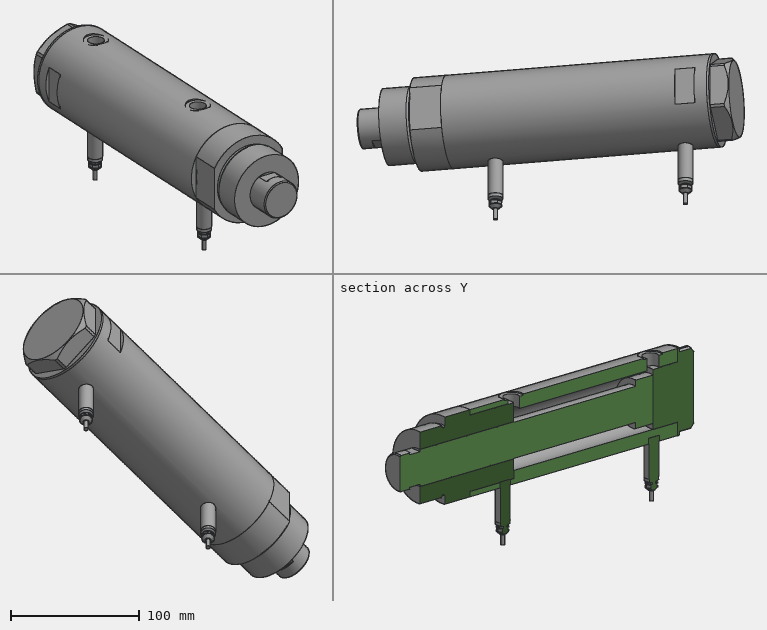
import cadquery as cq
import math


overall_height = 121.5

tube_diameter = 73.0
tube_radius = tube_diameter / 2
bore_radius = 25.0
counterbore_radius = 31.5
tube_start = 16.5
tube_end = 227.0
clear_height = tube_diameter

slot_start = 26.2
slot_end = 41.6
slot_half_width = 33.3

port_positions = [41.6, 182.5]
spotface_radius = 9.8
spotface_depth = 1.2
spotface_height = tube_radius - spotface_depth
port_radius = 6.5

hex_across_flats = 60.5
hex_corner_radius = 34.2
hex_face_radius = 29.8
hex_chamfer_length = 3.5
hex_length = 14.5
cap_spigot_end = port_positions[0]

head_end = 252.3
head_flat_half_width = 31.8
head_spigot_start = port_positions[1]
groove_radius = 28.0
groove_shoulder_radius = 29.2
groove_taper = 1.2
nose_radius = 30.0
nose_start = 254.0
nose_chamfer = 1.5
nose_end = 277.3

rod_radius = 15.5
rod_flat_half_height = 13.7
rod_flat_end = 287.5
rod_end = 297.5
rod_chamfer = 1.0
rod_hub_radius = 20.5
rod_hub_end = 59.5

sensor_positions = [40.5, 191.0]
sensor_radius = 6.0
sensor_collar_radius = sensor_radius - 0.15
sensor_neck_radius = 3.5
sensor_disc_radius = 5.0
sensor_cone_end_radius = 2.5
sensor_wire_radius = 1.65
sensor_top = -counterbore_radius
sensor_collar_top = -65.2
sensor_collar_bottom = -67.8
sensor_neck_top = -69.0
sensor_neck_bottom = -70.2
sensor_nut_top = -70.5
sensor_nut_bottom = -73.2
sensor_cone_top = -73.8
sensor_cone_bottom = -76.2
sensor_wire_end = tube_radius - overall_height
sensor_nut_across_flats = 8.5


def cylinder_x(radius, start, end):
    """Cylinder on the X axis from start to end."""
    return cq.Workplane("YZ", origin=(start, 0, 0)).circle(radius).extrude(end - start)


def cylinder_z(radius, x, bottom, top):
    """Vertical cylinder at the given X."""
    return cq.Workplane("XY", origin=(x, 0, bottom)).circle(radius).extrude(top - bottom)


def turned_x(profile):
    """Solid turned about the X axis from (x, radius) points that start and end on the axis."""
    return cq.Workplane("XY").polyline(profile).close().revolve(360, (0, 0, 0), (1, 0, 0))


def slab(start, end, half_y, half_z):
    """Box from start to end along X, centred on the X axis."""
    length = end - start
    return cq.Workplane("XY", origin=(start + length / 2, 0, 0)).box(length, 2 * half_y, 2 * half_z)


def make_tube():
    tube = cylinder_x(tube_radius, tube_start, tube_end)
    slot_zone = slab(slot_start, slot_end, tube_radius, tube_radius)
    slot_core = slab(slot_start, slot_end, slot_half_width, tube_radius)
    tube = tube.cut(slot_zone.cut(slot_core))
    tube = tube.cut(cylinder_x(bore_radius, tube_start, tube_end))
    tube = tube.cut(cylinder_x(counterbore_radius, head_spigot_start, tube_end))
    for x in port_positions:
        tube = tube.cut(cylinder_z(spotface_radius, x, spotface_height, clear_height))
        tube = tube.cut(cylinder_z(port_radius, x, 0, clear_height))
    for x in sensor_positions:
        tube = tube.cut(cylinder_z(sensor_radius, x, -clear_height, sensor_top))
    return tube


def make_end_cap():
    corner_distance = hex_across_flats / math.cos(math.pi / 6)
    hexagon = (
        cq.Workplane("YZ").polygon(6, corner_distance).extrude(hex_length)
        .rotate((0, 0, 0), (1, 0, 0), 90)
    )
    rounded_blank = turned_x([
        (0, 0),
        (0, hex_face_radius),
        (hex_chamfer_length, hex_corner_radius),
        (hex_length, hex_corner_radius),
        (hex_length, 0),
    ])
    flange = cylinder_x(tube_radius, hex_length, tube_start)
    spigot = cylinder_x(bore_radius, tube_start, cap_spigot_end)
    return hexagon.intersect(rounded_blank).union(flange).union(spigot)


def make_head():
    head = turned_x([
        (head_spigot_start, 0),
        (head_spigot_start, counterbore_radius),
        (tube_end, counterbore_radius),
        (tube_end, tube_radius),
        (head_end, tube_radius),
        (head_end, groove_shoulder_radius),
        (head_end + groove_taper, groove_radius),
        (nose_start, groove_radius),
        (nose_start + nose_chamfer, nose_radius),
        (nose_end, nose_radius),
        (nose_end, 0),
    ])
    head = head.intersect(slab(head_spigot_start, nose_end, head_flat_half_width, tube_radius))
    return head.cut(cylinder_x(rod_radius, head_spigot_start, nose_end))


def make_rod():
    rod = turned_x([
        (cap_spigot_end, 0),
        (cap_spigot_end, rod_hub_radius),
        (rod_hub_end, rod_hub_radius),
        (rod_hub_end, rod_radius),
        (rod_end - rod_chamfer, rod_radius),
        (rod_end, rod_radius - rod_chamfer),
        (rod_end, 0),
    ])
    flat_zone = slab(nose_end, rod_flat_end, rod_radius, rod_radius)
    flat_core = slab(nose_end, rod_flat_end, rod_radius, rod_flat_half_height)
    return rod.cut(flat_zone.cut(flat_core))


def make_sensor(x):
    profile = [
        (0, sensor_top),
        (sensor_radius, sensor_top),
        (sensor_radius, sensor_collar_top),
        (sensor_collar_radius, sensor_collar_top),
        (sensor_collar_radius, sensor_collar_bottom),
        (sensor_neck_radius, sensor_neck_top),
        (sensor_neck_radius, sensor_neck_bottom),
        (sensor_disc_radius, sensor_neck_bottom),
        (sensor_disc_radius, sensor_nut_top),
        (sensor_wire_radius, sensor_nut_top),
        (sensor_wire_radius, sensor_nut_bottom),
        (sensor_disc_radius, sensor_nut_bottom),
        (sensor_disc_radius, sensor_cone_top),
        (sensor_cone_end_radius, sensor_cone_bottom),
        (sensor_wire_radius, sensor_cone_bottom),
        (sensor_wire_radius, sensor_wire_end),
        (0, sensor_wire_end),
    ]
    turned = cq.Workplane("XZ").polyline(profile).close().revolve(360, (0, 0, 0), (0, 1, 0))
    nut = (
        cq.Workplane("XY", origin=(0, 0, sensor_nut_bottom))
        .polygon(6, sensor_nut_across_flats / math.cos(math.pi / 6))
        .extrude(sensor_nut_top - sensor_nut_bottom)
    )
    return turned.union(nut).translate((x, 0, 0))


tube = make_tube()
end_cap = make_end_cap()
head = make_head()
rod = make_rod()
sensors = [make_sensor(x) for x in sensor_positions]

result = cq.Compound.makeCompound([
    tube.val(),
    end_cap.val(),
    head.val(),
    rod.val(),
    *[sensor.val() for sensor in sensors],
])